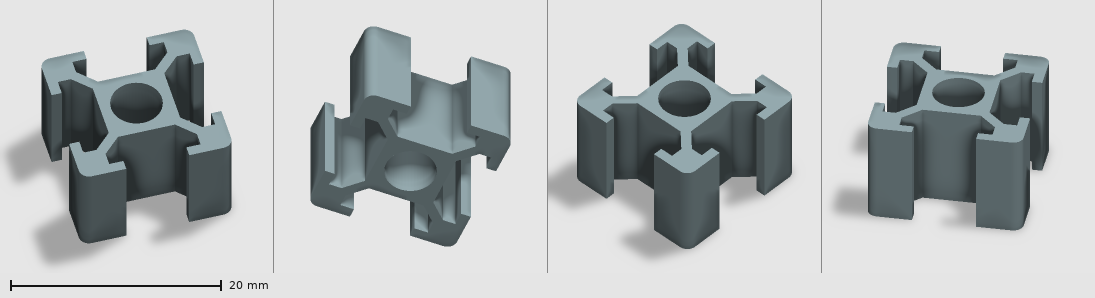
import cadquery as cq
import math

width = 15.0
length = 10.0
corner_radius = 1.0

lip_thickness = 1.0
slot_opening = 6.2
slot_inner_width = 9.0

core_width = 7.04
bore_diameter = 5.0
web_thickness = 1.0

half_width = width / 2
half_opening = slot_opening / 2
half_inner = slot_inner_width / 2
half_core = core_width / 2
lip_inner_face = half_width - lip_thickness

web_offset = web_thickness / 2 * math.sqrt(2)
half_floor = half_core - web_offset
web_outer_end = half_inner + web_offset


def make_slot(angle):
    """T-slot cutter for the +Y side, turned about Z by angle."""
    right_side = [
        (half_floor, half_core),
        (half_inner, web_outer_end),
        (half_inner, lip_inner_face),
        (half_opening, lip_inner_face),
        (half_opening, half_width),
    ]
    left_side = [(-x, y) for x, y in reversed(right_side)]
    slot = cq.Workplane("XY").polyline(right_side + left_side).close().extrude(length)
    return slot.rotate((0, 0, 0), (0, 0, 1), angle)


result = (
    cq.Workplane("XY")
    .rect(width, width)
    .extrude(length)
    .edges("|Z")
    .fillet(corner_radius)
    .faces(">Z")
    .workplane()
    .hole(bore_diameter)
)

for side in range(4):
    result = result.cut(make_slot(90 * side))